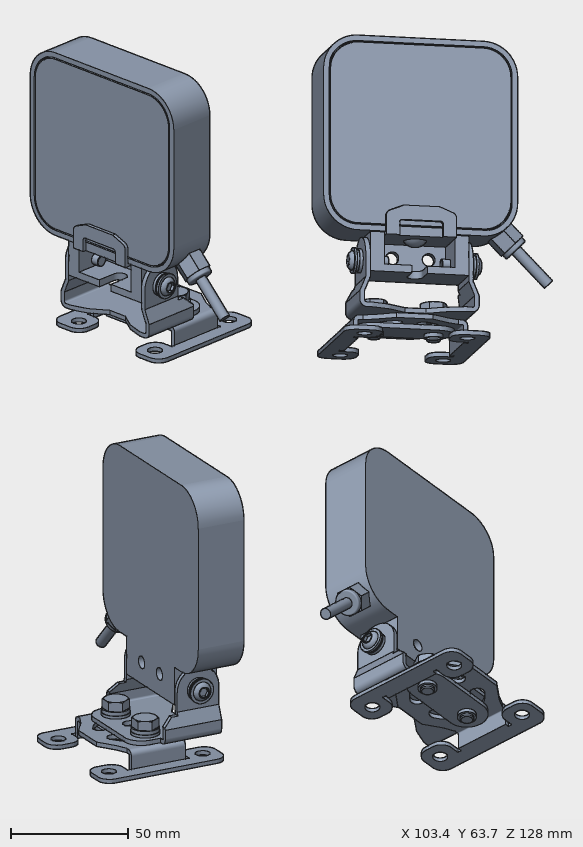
import cadquery as cq
import math


lamp_side = 85.0
lamp_top = 128.0
lamp_corner_radius = 15.0
lamp_front = 1.7
lamp_depth = 22.3
bezel_width = 2.4
lens_gap = 0.6
lens_thickness = 1.9
lamp_back = lamp_front + lamp_depth
lamp_bottom = lamp_top - lamp_side
lamp_middle_z = lamp_top - lamp_side / 2

mount_width = 43.0
mount_front = 3.6
mount_bottom = 25.9
mount_floor = 3.2
mount_back_wall = 3.2
recess_width = 30.7
recess_roof = 1.5
recess_ceiling = lamp_bottom - recess_roof
access_slot_width = 6.8
access_slot_centre_y = 12.4
wall_hole_diameter = 5.5
wall_hole_x = 8.0
wall_hole_z = 35.6
dome_diameter = 10.0
dome_height = 2.5

lip_top = 54.4
lip_shoulder_z = 51.5
lip_top_half_width = 8.0
lip_corner_radius = 2.5
lip_window_width = 19.1
lip_window_top = 48.1
lip_window_radius = 1.3

gland_y = 15.6
gland_flats = 11.3
gland_hex_end = 22.3
gland_end = 24.7
gland_rounding = 0.6
cable_diameter = 4.9
cable_end = 44.8

sheet = 2.0
yoke_foot_half_width = 26.1
yoke_bottom = 10.1
yoke_bend_radius = 3.0
crank_low_z = 17.2
crank_high_z = 23.3
arm_axis_z = 32.1
arm_radius = 10.1
arm_axis_y = mount_front + arm_radius
arm_base_back = 31.0
arm_shoulder_y = 26.9
arm_shoulder_low_z = 18.0
arm_shoulder_high_z = 21.8
tongue_half_width = 21.8
tongue_back = 43.9
tongue_radius = 8.0
pivot_hole_diameter = 6.7
notch_tip_half_width = 4.6
notch_tip_depth = 7.7
notch_knee_half_width = 12.4
notch_knee_depth = 2.5
notch_root_half_width = 20.5
yoke_arm_half_width = mount_width / 2 + sheet
yoke_floor_top = yoke_bottom + sheet

base_front = mount_front
base_back = 63.7
foot_thickness = 1.9
foot_outer_x = 31.9
foot_inner_x = 15.1
ear_length = 15.1
foot_corner_radius = 5.5
foot_hole_diameter = 6.4
foot_hole_x = 22.5
foot_hole_inset = 7.3
riser_outer_x = 25.0
riser_length = 26.4
base_bend_radius = 2.4
base_plate_tip_half_length = 20.9
base_plate_knee_half_length = 15.4
base_plate_tip_half_width = 8.0
base_plate_knee_half_width = 16.1
base_plate_root_half_width = 20.9
base_top = yoke_bottom
base_plate_bottom = base_top - sheet
base_middle_y = (base_front + base_back) / 2
slot_sweep = 61.0

bolt_circle_radius = 13.0
bolt_diameter = 6.0
slot_clearance = 0.1
slot_width = bolt_diameter + slot_clearance
bolt_y = base_middle_y
nut_plate_length = 44.0
nut_plate_width = 18.2
nut_collar_diameter = 8.0
nut_collar_height = 1.7
bolt_tip_z = 3.0
bolt_tip_chamfer = 0.5
bolt_washer_diameter = 12.5
bolt_washer_height = 1.3
spring_washer_diameter = 12.2
spring_washer_height = 1.7
bolt_head_flats = 10.2
bolt_head_height = 4.2
bolt_head_chamfer_angle = 30.0
bolt_head_circle = 10.5
bolt_head_oversize = 0.1
nut_plate_bottom = base_plate_bottom - sheet

shank_diameter = 5.0
shank_end_x = 11.6
shank_chamfer = 0.3
screw_rings = [(10.4, 1.4), (9.3, 1.2), (11.1, 1.0)]
screw_head_base_diameter = 8.5
screw_head_tip_diameter = 5.0
screw_head_height = 1.9
screw_socket_flats = 4.1
screw_socket_depth = 1.5
screw_head_bulge = 0.3


def box(x_limits, y_limits, z_limits):
    """A block between two limits along each axis."""
    corner = (x_limits[0], y_limits[0], z_limits[0])
    sizes = [high - low for low, high in (x_limits, y_limits, z_limits)]
    return cq.Workplane("XY").box(*sizes, centered=False).translate(corner)


def xz_plane(y):
    """Workplane at the given Y that extrudes toward +Y, with X to the left."""
    return cq.Workplane(cq.Plane(origin=(0, y, 0), xDir=(-1, 0, 0), normal=(0, 1, 0)))


def hexagon_corners(flats):
    """Distance across the corners of a hexagon, from the distance across its flats."""
    return flats / math.cos(math.radians(30))


def both_sides(half_outline):
    """Close an outline by mirroring its points in X = 0."""
    return half_outline + [(-x, y) for x, y in reversed(half_outline)]


def rounded_square(inset, front, back):
    """Block with the lamp's outline, moved inwards by the inset."""
    side = lamp_side - 2 * inset
    block = xz_plane(front).center(0, lamp_middle_z).rect(side, side).extrude(back - front)
    return block.edges("|Y").fillet(lamp_corner_radius - inset)


def make_mount():
    mount_half = mount_width / 2
    recess_half = recess_width / 2
    floor_top = mount_bottom + mount_floor
    recess_back = lamp_back - mount_back_wall
    mount = box((-mount_half, mount_half), (mount_front, lamp_back), (mount_bottom, lamp_bottom))
    roof = box((-recess_half, recess_half), (lamp_front, mount_front), (recess_ceiling, lamp_bottom))
    mount = mount.union(roof)
    recess = box((-recess_half, recess_half), (mount_front, recess_back), (floor_top, recess_ceiling))
    mount = mount.cut(recess)

    slot_half = access_slot_width / 2
    slot = box((-slot_half, slot_half), (mount_front, access_slot_centre_y), (mount_bottom, floor_top))
    slot_end = (
        cq.Workplane("XY", origin=(0, access_slot_centre_y, mount_bottom)).circle(slot_half).extrude(mount_floor)
    )
    mount = mount.cut(slot).cut(slot_end)

    holes = (
        xz_plane(recess_back)
        .pushPoints([(-wall_hole_x, wall_hole_z), (wall_hole_x, wall_hole_z)])
        .circle(wall_hole_diameter / 2)
        .extrude(mount_back_wall)
    )
    mount = mount.cut(holes)

    dome_radius = ((dome_diameter / 2) ** 2 + dome_height**2) / (2 * dome_height)
    ball_centre = (0, access_slot_centre_y, recess_ceiling - dome_height + dome_radius)
    ball = cq.Workplane("XY").sphere(dome_radius).translate(ball_centre)
    below_ceiling = box((-recess_half, recess_half), (mount_front, recess_back), (mount_bottom, recess_ceiling))
    return mount.union(ball.intersect(below_ceiling))


def make_lip():
    half_width = recess_width / 2
    outline = both_sides(
        [(half_width, recess_ceiling), (half_width, lip_shoulder_z), (lip_top_half_width, lip_top)]
    )
    lip = xz_plane(0).polyline(outline).close().extrude(lamp_front)
    lip = lip.edges("|Y and (<X or >X)").edges(">Z").fillet(lip_corner_radius)
    window_half = lip_window_width / 2
    window = box((-window_half, window_half), (0, lamp_front), (recess_ceiling, lip_window_top))
    window = window.edges("|Y and >Z").fillet(lip_window_radius)
    return lip.cut(window)


def make_gland_and_cable():
    arc_centre_offset = lamp_side / 2 - lamp_corner_radius
    axis = cq.Plane(
        origin=(arc_centre_offset, gland_y, lamp_bottom + lamp_corner_radius),
        xDir=(0, 1, 0),
        normal=(1, 0, -1),
    )
    collar = (
        cq.Workplane(axis)
        .workplane(offset=gland_hex_end)
        .circle(gland_flats / 2)
        .extrude(gland_end - gland_hex_end)
        .faces(cq.selectors.DirectionMinMaxSelector(cq.Vector(1, 0, -1)))
        .edges()
        .fillet(gland_rounding)
    )
    start = lamp_corner_radius / 2
    hexagon = (
        cq.Workplane(axis)
        .workplane(offset=start)
        .polygon(6, hexagon_corners(gland_flats))
        .extrude(gland_hex_end - start)
    )
    cable = (
        cq.Workplane(axis).workplane(offset=start).circle(cable_diameter / 2).extrude(cable_end - start)
    )
    return hexagon.union(collar).union(cable)


def make_housing():
    housing = rounded_square(0, lamp_front, lamp_back)
    housing = housing.union(make_mount()).union(make_gland_and_cable())
    housing = housing.cut(rounded_square(bezel_width, lamp_front, lamp_front + lens_thickness))
    housing = housing.union(make_lip())
    for side in (-1, 1):
        housing = housing.cut(make_shank(side))
    return housing


def make_lens():
    return rounded_square(bezel_width + lens_gap, lamp_front, lamp_front + lens_thickness)


def yoke_front_profile():
    """Bent sheet: a flat floor and two cranked arms, over the full depth."""
    low_outer = yoke_foot_half_width
    high_outer = yoke_arm_half_width
    arm_top = arm_axis_z + arm_radius
    bend_start = low_outer - yoke_bend_radius
    inner_radius = yoke_bend_radius - sheet
    bend_z = yoke_bottom + yoke_bend_radius
    diagonal = math.sqrt(0.5)

    def bend_point(radius, side):
        return (side * (bend_start + radius * diagonal), bend_z - radius * diagonal)

    return (
        cq.Workplane("XZ")
        .moveTo(-high_outer, arm_top)
        .lineTo(-high_outer, crank_high_z)
        .lineTo(-low_outer, crank_low_z)
        .lineTo(-low_outer, bend_z)
        .threePointArc(bend_point(yoke_bend_radius, -1), (-bend_start, yoke_bottom))
        .lineTo(bend_start, yoke_bottom)
        .threePointArc(bend_point(yoke_bend_radius, 1), (low_outer, bend_z))
        .lineTo(low_outer, crank_low_z)
        .lineTo(high_outer, crank_high_z)
        .lineTo(high_outer, arm_top)
        .lineTo(high_outer - sheet, arm_top)
        .lineTo(high_outer - sheet, crank_high_z)
        .lineTo(low_outer - sheet, crank_low_z)
        .lineTo(low_outer - sheet, bend_z)
        .threePointArc(bend_point(inner_radius, 1), (bend_start, yoke_floor_top))
        .lineTo(-bend_start, yoke_floor_top)
        .threePointArc(bend_point(inner_radius, -1), (sheet - low_outer, bend_z))
        .lineTo(sheet - low_outer, crank_low_z)
        .lineTo(sheet - high_outer, crank_high_z)
        .lineTo(sheet - high_outer, arm_top)
        .close()
        .extrude(-tongue_back)
    )


def yoke_side_profile():
    """Round-topped arms on a wider lower part, with the floor tongue behind."""
    return (
        cq.Workplane("YZ")
        .moveTo(mount_front, yoke_bottom)
        .lineTo(tongue_back, yoke_bottom)
        .lineTo(tongue_back, yoke_floor_top)
        .lineTo(arm_base_back, yoke_floor_top)
        .lineTo(arm_base_back, arm_shoulder_low_z)
        .lineTo(arm_shoulder_y, arm_shoulder_high_z)
        .lineTo(arm_axis_y + arm_radius, arm_shoulder_high_z)
        .lineTo(arm_axis_y + arm_radius, arm_axis_z)
        .threePointArc((arm_axis_y, arm_axis_z + arm_radius), (mount_front, arm_axis_z))
        .close()
        .extrude(yoke_foot_half_width, both=True)
    )


def yoke_plan():
    """Plan outline: stepped notch at the front, rounded tongue at the back."""
    front_edge = [
        (notch_root_half_width, mount_front),
        (notch_knee_half_width, mount_front + notch_knee_depth),
        (notch_tip_half_width, mount_front + notch_tip_depth),
    ]
    outline = both_sides(
        [
            (tongue_half_width, tongue_back),
            (tongue_half_width, arm_base_back),
            (yoke_foot_half_width, arm_base_back),
            (yoke_foot_half_width, mount_front),
        ]
        + front_edge
    )
    plan = cq.Workplane("XY").polyline(outline).close().extrude(arm_axis_z + arm_radius)
    return plan.edges("|Z and >Y").fillet(tongue_radius)


def make_yoke():
    yoke = yoke_front_profile().intersect(yoke_side_profile()).intersect(yoke_plan())
    pivot_hole = cq.Workplane("XY", origin=(0, bolt_y, yoke_bottom)).circle(pivot_hole_diameter / 2)
    yoke = yoke.cut(pivot_hole.extrude(sheet))
    for side in (-1, 1):
        yoke = yoke.cut(make_bolt(side))
        yoke = yoke.cut(make_shank(side))
    return yoke


def make_base_foot():
    """Foot strip on the -X side, with an inward ear and a hole at each end."""
    foot = box((-foot_outer_x, -riser_outer_x), (base_front, base_back), (0, foot_thickness))
    for ear_front in (base_front, base_back - ear_length):
        ear = box((-foot_outer_x, -foot_inner_x), (ear_front, ear_front + ear_length), (0, foot_thickness))
        foot = foot.union(ear)
    foot = foot.edges("|Z and (<X or >X)").fillet(foot_corner_radius)
    for hole_y in (base_front + foot_hole_inset, base_back - foot_hole_inset):
        hole = (
            cq.Workplane("XY", origin=(-foot_hole_x, hole_y, 0))
            .circle(foot_hole_diameter / 2)
            .extrude(foot_thickness)
        )
        foot = foot.cut(hole)
    return foot


def make_curved_slot(side):
    """Slot through the base plate, curved about the pivot and centred on one bolt."""
    reach = math.radians(slot_sweep)
    half_width = slot_width / 2

    def at(radius, angle):
        return (side * radius * math.cos(angle), radius * math.sin(angle))

    outer = bolt_circle_radius + half_width
    inner = bolt_circle_radius - half_width
    cap = reach + half_width / bolt_circle_radius
    return (
        cq.Workplane("XY", origin=(0, bolt_y, base_plate_bottom))
        .moveTo(*at(outer, -reach))
        .threePointArc(at(outer, 0), at(outer, reach))
        .threePointArc(at(bolt_circle_radius, cap), at(inner, reach))
        .threePointArc(at(inner, 0), at(inner, -reach))
        .threePointArc(at(bolt_circle_radius, -cap), at(outer, -reach))
        .close()
        .extrude(sheet)
    )


def make_base():
    half_riser = riser_length / 2
    riser_limits = (base_middle_y - half_riser, base_middle_y + half_riser)

    bridge = box((-riser_outer_x, riser_outer_x), riser_limits, (0, base_top))
    bridge = bridge.edges("|Y and >Z").fillet(base_bend_radius)
    inner_half = riser_outer_x - foot_thickness
    hollow = box((-inner_half, inner_half), riser_limits, (0, base_plate_bottom))
    bend_inside = base_bend_radius - foot_thickness
    bridge = bridge.cut(hollow.edges("|Y and >Z").fillet(bend_inside))

    half_outline = [
        (base_plate_tip_half_width, base_plate_tip_half_length),
        (base_plate_knee_half_width, base_plate_knee_half_length),
        (base_plate_root_half_width, half_riser),
    ]
    right_edge = half_outline + [(x, -y) for x, y in reversed(half_outline)]
    plate = (
        cq.Workplane("XY", origin=(0, base_middle_y, base_plate_bottom))
        .polyline(both_sides(right_edge))
        .close()
        .extrude(sheet)
    )
    foot = make_base_foot()
    base = bridge.union(plate).union(foot).union(foot.mirror("YZ"))
    for side in (-1, 1):
        base = base.cut(make_curved_slot(side))
    return base


def make_bolt(side):
    """Hexagon bolt with its washers, standing on the yoke floor."""

    def disc(bottom, diameter, height):
        return (
            cq.Workplane("XY", origin=(side * bolt_circle_radius, bolt_y, bottom))
            .circle(diameter / 2)
            .extrude(height)
        )

    spring_washer_z = yoke_floor_top + bolt_washer_height
    head_z = spring_washer_z + spring_washer_height
    shank = disc(bolt_tip_z, bolt_diameter, yoke_floor_top - bolt_tip_z)
    shank = shank.faces("<Z").chamfer(bolt_tip_chamfer)
    head_corners = hexagon_corners(bolt_head_flats)
    head = (
        cq.Workplane("XY", origin=(side * bolt_circle_radius, bolt_y, head_z))
        .polygon(6, head_corners)
        .extrude(bolt_head_height)
    )
    chamfer_width = (head_corners - bolt_head_circle) / 2 + bolt_head_oversize
    turned = disc(head_z, bolt_head_circle + 2 * chamfer_width, bolt_head_height)
    chamfer_drop = chamfer_width * math.tan(math.radians(bolt_head_chamfer_angle))
    turned = turned.faces(">Z").chamfer(chamfer_drop, chamfer_width)
    return (
        shank.union(disc(yoke_floor_top, bolt_washer_diameter, bolt_washer_height))
        .union(disc(spring_washer_z, spring_washer_diameter, spring_washer_height))
        .union(head.intersect(turned))
    )


def make_nut_plate():
    plate = (
        cq.Workplane("XY", origin=(0, bolt_y, nut_plate_bottom))
        .slot2D(nut_plate_length, nut_plate_width)
        .extrude(sheet)
    )
    collars = (
        cq.Workplane("XY", origin=(0, bolt_y, nut_plate_bottom))
        .pushPoints([(-bolt_circle_radius, 0), (bolt_circle_radius, 0)])
        .circle(nut_collar_diameter / 2)
        .extrude(-nut_collar_height)
    )
    plate = plate.union(collars)
    for side in (-1, 1):
        plate = plate.cut(make_bolt(side))
    return plate


def pivot_plane(side, x):
    """Workplane on the pivot axis at the given distance from the middle, extruding outwards."""
    return cq.Workplane(
        cq.Plane(origin=(side * x, arm_axis_y, arm_axis_z), xDir=(0, 1, 0), normal=(side, 0, 0))
    )


def make_shank(side):
    length = yoke_arm_half_width - shank_end_x
    shank = pivot_plane(side, shank_end_x).circle(shank_diameter / 2).extrude(length)
    return shank.faces("<X" if side > 0 else ">X").chamfer(shank_chamfer)


def make_pivot_screw(side):
    screw = make_shank(side)
    x = yoke_arm_half_width
    for diameter, thickness in screw_rings:
        screw = screw.union(pivot_plane(side, x).circle(diameter / 2).extrude(thickness))
        x += thickness
    base_radius = screw_head_base_diameter / 2
    tip_radius = screw_head_tip_diameter / 2
    middle = (
        (base_radius + tip_radius) / 2 + screw_head_bulge,
        screw_head_height / 2 + screw_head_bulge,
    )
    axis_plane = cq.Plane(
        origin=(side * x, arm_axis_y, arm_axis_z), xDir=(0, 1, 0), normal=(0, 0, -side)
    )
    head = (
        cq.Workplane(axis_plane)
        .lineTo(base_radius, 0)
        .threePointArc(middle, (tip_radius, screw_head_height))
        .lineTo(0, screw_head_height)
        .close()
        .revolve(360, (0, 0), (0, 1))
    )
    socket = (
        pivot_plane(side, x + screw_head_height - screw_socket_depth)
        .polygon(6, hexagon_corners(screw_socket_flats))
        .extrude(screw_socket_depth)
    )
    return screw.union(head).cut(socket)


housing = make_housing()
lens = make_lens()
yoke = make_yoke()
base = make_base()
nut_plate = make_nut_plate()
bolts = [make_bolt(side).val() for side in (-1, 1)]
pivot_screws = [make_pivot_screw(side).val() for side in (-1, 1)]

result = cq.Compound.makeCompound(
    [housing.val(), lens.val(), yoke.val(), base.val(), nut_plate.val(), *bolts, *pivot_screws]
)